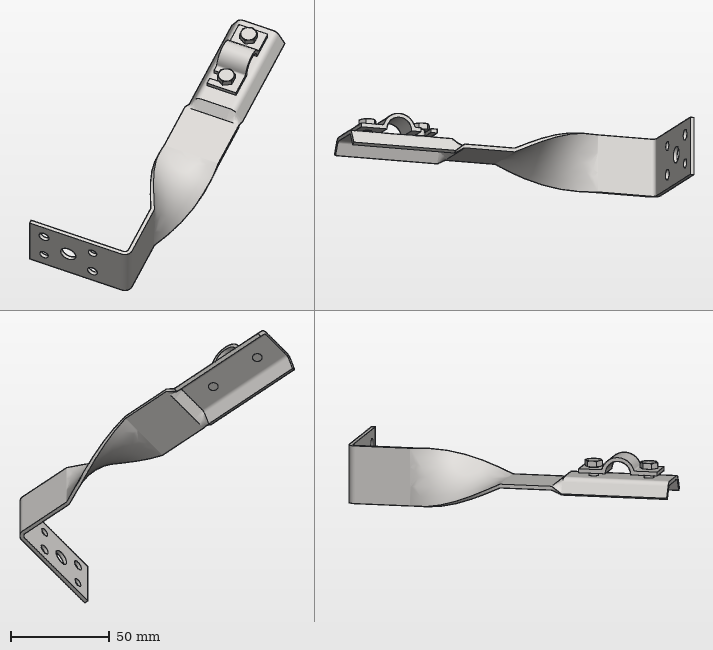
import cadquery as cq
import math


strip_width = 30.0
sheet = 2.0
bend_inner_radius = 2.0
bend_outer_radius = bend_inner_radius + sheet

twist_start = 33.0
twist_length = 50.0
twist_end = twist_start + twist_length
channel_end = 170.0
channel_length = 55.0
channel_start = channel_end - channel_length
flare_length = 5.0
flare_start = channel_start - flare_length
twist_angle = 90

total_width = 69.0
plate_end_x = strip_width / 2 - total_width
center_hole_x = -32.6
center_hole_diameter = 8.3
corner_hole_pitch_x = 26.9
corner_hole_pitch_z = 15.0
large_hole_diameter = 5.5
small_hole_diameter = 4.6

channel_top = 5.0
channel_top_half_flat = 8.0
wall_angle = math.radians(60)
wall_length = 6.5

clamp_center_y = 143.0
clamp_length = 41.1
clamp_width = 2 * channel_top_half_flat
clamp_bottom = 7.3
clamp_top = clamp_bottom + sheet
arch_inner_radius = 6.6
arch_outer_radius = arch_inner_radius + sheet
arch_foot_fillet = 1.0
slot_width = 5.5

screw_pitch = 28.9
screw_diameter = 5.0
neck_diameter = 4.0
head_across_flats = 8.0
head_top = 13.0
neck_clearance = 0.5
head_chamfer_angle = math.radians(30)
slot_screw_y = clamp_center_y - screw_pitch / 2
hole_screw_y = clamp_center_y + screw_pitch / 2


def make_angle():
    """Mounting plate and upright leg, bent from one strip."""
    half = sheet / 2
    angle = (
        cq.Workplane("XY", origin=(0, 0, -strip_width / 2))
        .moveTo(plate_end_x, 0)
        .lineTo(half, 0)
        .lineTo(half, twist_start)
        .lineTo(-half, twist_start)
        .lineTo(-half, sheet)
        .lineTo(plate_end_x, sheet)
        .close()
        .extrude(strip_width)
    )
    inner_corner = cq.selectors.NearestToPointSelector((-half, sheet, 0))
    outer_corner = cq.selectors.NearestToPointSelector((half, 0, 0))
    angle = angle.edges("|Z").edges(inner_corner).fillet(bend_inner_radius)
    return angle.edges("|Z").edges(outer_corner).fillet(bend_outer_radius)


def hole_through_plate(x, z, diameter):
    return cq.Workplane("XZ", origin=(x, 0, z)).circle(diameter / 2).extrude(-sheet)


def make_plate_holes():
    """Center hole and four corner holes, with equal sizes on opposite corners."""
    holes = hole_through_plate(center_hole_x, 0, center_hole_diameter)
    for side_x in (-1, 1):
        for side_z in (-1, 1):
            diameter = small_hole_diameter if side_x == side_z else large_hole_diameter
            x = center_hole_x + side_x * corner_hole_pitch_x / 2
            z = side_z * corner_hole_pitch_z / 2
            holes = holes.add(hole_through_plate(x, z, diameter))
    return holes.combine()


def make_twist():
    """Quarter twist whose lower edge swings from -Z to +X."""
    start = cq.Plane(origin=(0, twist_start, 0), xDir=(0, 0, -1), normal=(0, 1, 0))
    return cq.Workplane(start).rect(strip_width, sheet).twistExtrude(twist_length, -twist_angle)


def make_flat():
    center = (0, (flare_start + twist_end) / 2, 0)
    return cq.Workplane("XY", origin=center).box(strip_width, flare_start - twist_end, sheet)


def channel_side(fold_radius):
    """Right half of one skin of the channel: fold start, middle and end, then the tip, as (x, z)."""
    fold_center_z = channel_top - bend_outer_radius
    points = [
        (
            channel_top_half_flat + fold_radius * math.sin(angle),
            fold_center_z + fold_radius * math.cos(angle),
        )
        for angle in (0, wall_angle / 2, wall_angle)
    ]
    end_x, end_z = points[-1]
    tip = (end_x + wall_length * math.cos(wall_angle), end_z - wall_length * math.sin(wall_angle))
    return points + [tip]


def flat_side(z):
    """Right half of one face of the flat strip, with points that match those of channel_side."""
    outer_fold_end_x = channel_top_half_flat + bend_outer_radius * math.sin(wall_angle)
    return [(channel_top_half_flat, z), (outer_fold_end_x, z), (strip_width / 2, z)]


def mirrored(point):
    return (-point[0], point[1])


def channel_outline(plane):
    start, middle, end, tip = channel_side(bend_outer_radius)
    in_start, in_middle, in_end, in_tip = channel_side(bend_inner_radius)
    return (
        plane.moveTo(*mirrored(start))
        .lineTo(*start)
        .threePointArc(middle, end)
        .lineTo(*tip)
        .lineTo(*in_tip)
        .lineTo(*in_end)
        .threePointArc(in_middle, in_start)
        .lineTo(*mirrored(in_start))
        .threePointArc(mirrored(in_middle), mirrored(in_end))
        .lineTo(*mirrored(in_tip))
        .lineTo(*mirrored(tip))
        .lineTo(*mirrored(end))
        .threePointArc(mirrored(middle), mirrored(start))
        .close()
    )


def flat_outline(plane):
    top = flat_side(sheet / 2)
    bottom = flat_side(-sheet / 2)
    right = top + bottom[::-1]
    left = [mirrored(point) for point in right[::-1]]
    return plane.moveTo(*left[-1]).polyline(right + left).close()


def section_plane(y):
    return cq.Workplane("XZ", origin=(0, y, 0))


def make_channel():
    return channel_outline(section_plane(channel_start)).extrude(-channel_length)


def make_flare():
    """Passage from the flat strip to the channel section, with straight rulings."""
    flat_wire = flat_outline(section_plane(flare_start)).wire().val()
    channel_wire = channel_outline(section_plane(channel_start)).wire().val()
    return cq.Workplane(cq.Solid.makeLoft([flat_wire, channel_wire], True))


def round_bar(y, bottom, top, diameter):
    return cq.Workplane("XY", origin=(0, y, bottom)).circle(diameter / 2).extrude(top - bottom)


def make_bracket():
    bracket = make_angle().union(make_twist()).union(make_flat())
    bracket = bracket.union(make_flare()).union(make_channel())
    bracket = bracket.cut(make_plate_holes())
    for y in (slot_screw_y, hole_screw_y):
        bracket = bracket.cut(round_bar(y, channel_top - sheet, channel_top, screw_diameter))
    return bracket


def make_clamp():
    """Saddle clamp: a half-round arch between two feet, one slotted and one drilled."""
    upright = (True, True, False)
    feet = cq.Workplane("XY").box(clamp_width, clamp_length, sheet, centered=upright)
    upper_half = cq.Workplane("XY").box(clamp_width, clamp_length, arch_outer_radius, centered=upright)
    arch = cq.Workplane("YZ").circle(arch_outer_radius).extrude(clamp_width / 2, both=True)
    clamp = feet.union(arch.intersect(upper_half))

    around_arch_feet = cq.selectors.BoxSelector(
        (-clamp_width, -arch_outer_radius, sheet / 2),
        (clamp_width, arch_outer_radius, 2 * sheet),
    )
    clamp = clamp.edges("|X").edges(around_arch_feet).fillet(arch_foot_fillet)
    clamp = clamp.cut(cq.Workplane("YZ").circle(arch_inner_radius).extrude(clamp_width, both=True))

    slot_end = round_bar(-screw_pitch / 2, 0, sheet, slot_width)
    slot_mouth = (
        cq.Workplane("XY", origin=(-clamp_width / 2, -screw_pitch / 2, 0))
        .rect(clamp_width, slot_width)
        .extrude(sheet)
    )
    hole = round_bar(screw_pitch / 2, 0, sheet, neck_diameter)
    clamp = clamp.cut(slot_end).cut(slot_mouth).cut(hole)
    return clamp.translate((0, clamp_center_y, clamp_bottom))


def make_screw(y):
    """Hexagon screw: chamfered head, thin neck through the clamp and full shank below it."""
    head_bottom = clamp_top + neck_clearance
    shank_top = clamp_bottom - neck_clearance
    across_corners = head_across_flats / math.cos(math.pi / 6)
    head = (
        cq.Workplane("XY", origin=(0, y, head_bottom))
        .transformed(rotate=(0, 0, 90))
        .polygon(6, across_corners)
        .extrude(head_top - head_bottom)
    )
    chamfer_width = (across_corners - head_across_flats) / 2
    chamfer_height = chamfer_width * math.tan(head_chamfer_angle)
    envelope = (
        round_bar(y, head_bottom, head_top, across_corners)
        .faces(">Z")
        .chamfer(chamfer_height, chamfer_width)
    )
    neck = round_bar(y, shank_top, head_bottom, neck_diameter)
    shank = round_bar(y, channel_top - sheet, shank_top, screw_diameter)
    return head.intersect(envelope).union(neck).union(shank)


bracket = make_bracket()
clamp = make_clamp()
screws = [make_screw(y) for y in (slot_screw_y, hole_screw_y)]

result = cq.Compound.makeCompound([bracket.val(), clamp.val(), *[screw.val() for screw in screws]])